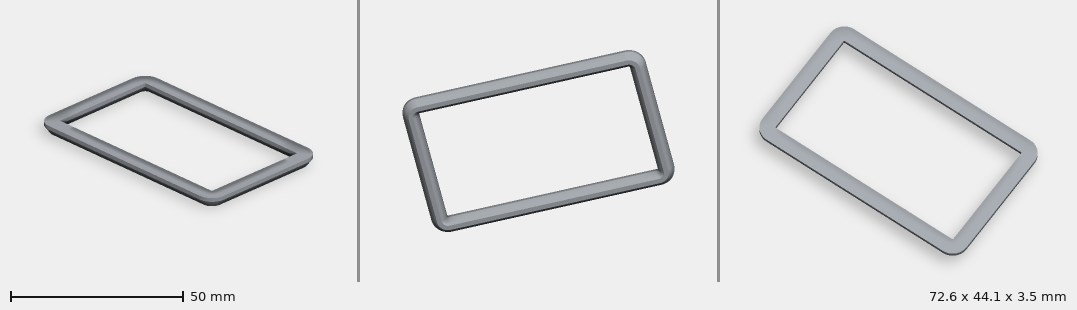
import cadquery as cq

length = 72.6
width = 44.1
height = 3.5

rim_width = 4.7
rim_height = 1.2
flank_inset = 1.7
flank_height = height - rim_height
base_width = rim_width - 2 * flank_inset

inner_radius = 0.2
outer_radius = inner_radius + rim_width


def rounded_outline(offset, z):
    """Rounded rectangle lying `offset` inside the outer edge, at height z."""
    return (
        cq.Sketch()
        .rect(length - 2 * offset, width - 2 * offset)
        .vertices()
        .fillet(outer_radius - offset)
        .moved(cq.Location(cq.Vector(0, 0, z)))
    )


def straight_block(offset, bottom, depth):
    """Upright block whose outline lies `offset` inside the outer edge."""
    return cq.Workplane("XY").placeSketch(rounded_outline(offset, bottom)).extrude(depth)


def tapered_block(bottom_offset, top_offset):
    """Block that changes offset evenly over the height of the flanks."""
    return (
        cq.Workplane("XY")
        .placeSketch(rounded_outline(bottom_offset, 0), rounded_outline(top_offset, flank_height))
        .loft()
    )


rim = straight_block(0, flank_height, rim_height).cut(straight_block(rim_width, flank_height, rim_height))

flanks = tapered_block(flank_inset, 0).cut(tapered_block(flank_inset + base_width, rim_width))

result = rim.union(flanks)